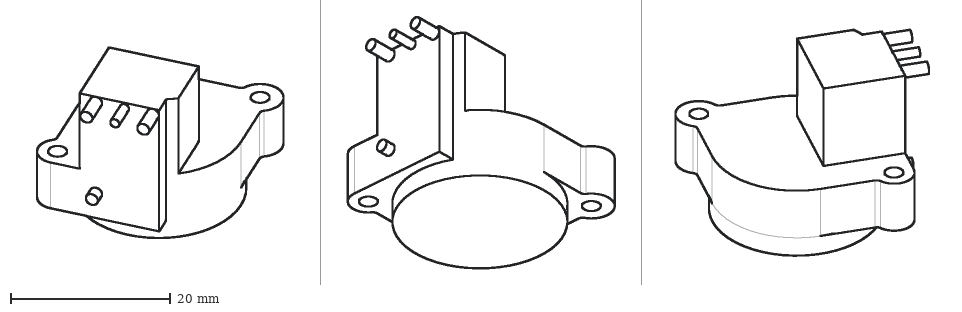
import cadquery as cq
import math

body_radius = 11.0
disc_height = 2.68
flange_top = 9.72
total_height = 21.3
flange_height = flange_top - disc_height

lug_offset = 9.9
front_lug_radius = 2.6
rear_lug_radius = 2.95
lug_hole_radius = 1.18
lug_fillet = 0.75

front_y = -lug_offset - front_lug_radius
front_right_x = 4.65
block_half_width = 6.0
block_rear_y = -1.82

pin_radius = 0.8
center_pin_radius = 0.6
pin_spacing = 3.8
upper_pin_length = 3.52
lower_pin_length = 1.5
upper_pin_z = total_height - pin_radius
lower_pin_z = 6.52


def box_between(x_min, x_max, y_min, y_max, height):
    """Box from the disc top upward, given by its plan corners."""
    return (
        cq.Workplane("XY", origin=(0, 0, disc_height))
        .moveTo((x_min + x_max) / 2, (y_min + y_max) / 2)
        .rect(x_max - x_min, y_max - y_min)
        .extrude(height)
    )


def cylinder(x, y, radius, z_min, height):
    """Vertical cylinder."""
    return cq.Workplane("XY", origin=(x, y, z_min)).circle(radius).extrude(height)


def outline_prism(height):
    """Round body with two square corners, a lug on each and a flat front pad."""
    prism = cylinder(0, 0, body_radius, disc_height, height)
    corners = [
        box_between(-body_radius, 0, -body_radius, 0, height),
        box_between(0, body_radius, 0, body_radius, height),
        box_between(-lug_offset, front_right_x, front_y, 0, height),
        cylinder(-lug_offset, -lug_offset, front_lug_radius, disc_height, height),
        cylinder(lug_offset, lug_offset, rear_lug_radius, disc_height, height),
    ]
    for corner in corners:
        prism = prism.union(corner)
    return prism.clean()


def lug_junction(radius):
    """Distance from the body axis, along a body side, where a lug meets that side."""
    return lug_offset - math.sqrt(radius**2 - (body_radius - lug_offset) ** 2)


def flange():
    """Mounting flange with blended lugs and screw holes."""
    rear = lug_junction(rear_lug_radius)
    front = lug_junction(front_lug_radius)
    junctions = [(body_radius, rear), (rear, body_radius), (-body_radius, -front)]
    mid_z = disc_height + flange_height / 2
    plate = outline_prism(flange_height)
    for x, y in junctions:
        edge = cq.selectors.NearestToPointSelector((x, y, mid_z))
        plate = plate.edges("|Z").edges(edge).fillet(lug_fillet)
    for side in (-1, 1):
        position = side * lug_offset
        plate = plate.cut(cylinder(position, position, lug_hole_radius, disc_height, flange_height))
    return plate


def terminal_block():
    """Tall block, trimmed to the body outline at its right front corner."""
    height = total_height - disc_height
    block = box_between(-block_half_width, block_half_width, front_y, block_rear_y, height)
    return block.intersect(outline_prism(height))


def pin(x, z, radius, length):
    """Round pin pointing forward from the front face."""
    return cq.Workplane("XZ", origin=(x, front_y, z)).circle(radius).extrude(length)


result = cylinder(0, 0, body_radius, 0, flange_top)
result = result.union(flange()).union(terminal_block())

pins = [
    (-pin_spacing, upper_pin_z, pin_radius, upper_pin_length),
    (0, upper_pin_z, center_pin_radius, upper_pin_length),
    (pin_spacing, upper_pin_z, pin_radius, upper_pin_length),
    (-pin_spacing, lower_pin_z, pin_radius, lower_pin_length),
]
for x, z, radius, length in pins:
    result = result.union(pin(x, z, radius, length))